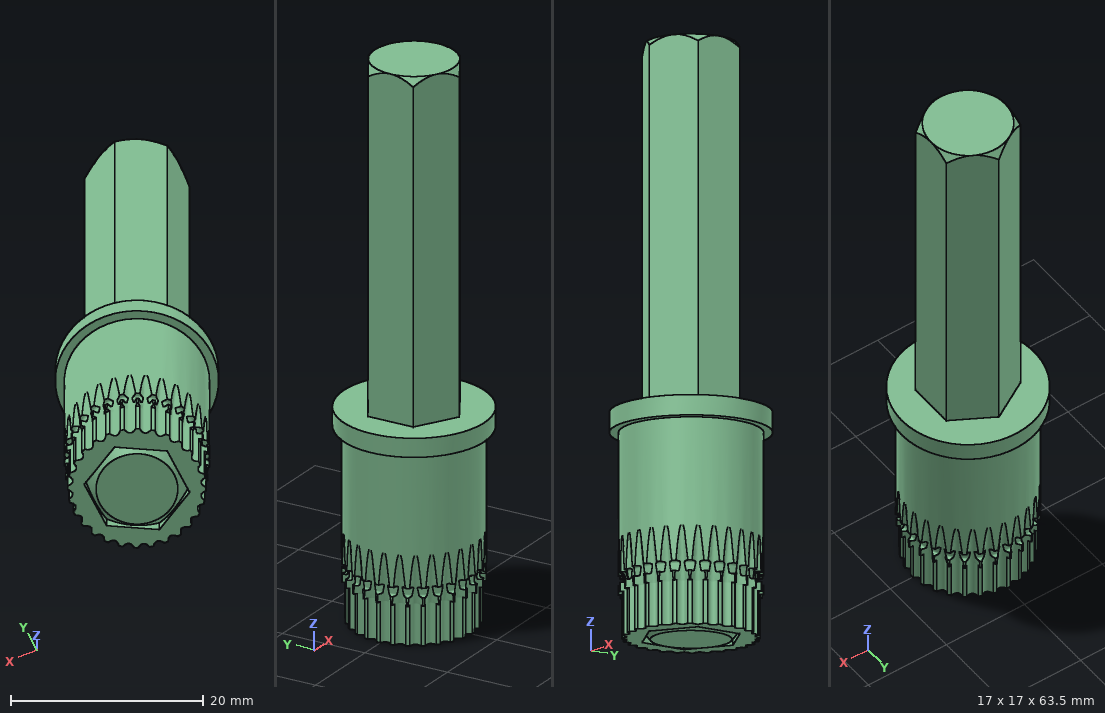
import cadquery as cq
import math

total_length = 63.5
across_flats = 9.5
hex_corner_diameter = across_flats / math.cos(math.pi / 6)
corner_bevel_drop = 0.9
foot_diameter = 8.5

bar_protrusion = 0.1
flange_diameter = 17.0
flange_top = 24.2
flange_bottom = 22.05
body_diameter = 15.1
ring_groove_top = 6.8
ring_groove_bottom = 5.7
ring_groove_diameter = 14.1
ring_groove_corner_radius = 0.2
collar_bottom = 4.75
spline_diameter = 14.4

groove_count = 28
groove_root_distance = 6.75
groove_root_radius = 0.4
groove_depth = 1.3
ramp_start = collar_bottom
ramp_end = 10.7


def make_hex_prism():
    """Full-length hexagon with two of its flats facing +X and -X."""
    return (
        cq.Workplane("XY")
        .polygon(6, hex_corner_diameter)
        .extrude(total_length)
        .rotate((0, 0, 0), (0, 0, 1), 90)
    )


def make_drive_bar():
    """Hexagonal bar whose corners are turned off by a conical bevel at both ends."""
    flat_radius = across_flats / 2
    corner_radius = hex_corner_diameter / 2
    foot_radius = foot_diameter / 2
    bevel_slope = corner_bevel_drop / (corner_radius - flat_radius)
    foot_bevel_rise = bevel_slope * (corner_radius - foot_radius)
    bevel_envelope = (
        cq.Workplane("XZ")
        .lineTo(foot_radius, 0)
        .lineTo(corner_radius, foot_bevel_rise)
        .lineTo(corner_radius, total_length - corner_bevel_drop)
        .lineTo(flat_radius, total_length)
        .lineTo(0, total_length)
        .close()
        .revolve(360, (0, 0, 0), (0, 1, 0))
    )
    return make_hex_prism().intersect(bevel_envelope)


def make_sleeve_blank():
    """Turned sleeve: flange, plain body, ring groove with round corners, collar and spline section."""
    spline_radius = spline_diameter / 2
    body_radius = body_diameter / 2
    flange_radius = flange_diameter / 2
    ring_radius = ring_groove_diameter / 2
    corner = ring_groove_corner_radius
    ring_wall_end = ring_radius + corner
    return (
        cq.Workplane("XZ")
        .moveTo(0, bar_protrusion)
        .lineTo(spline_radius, bar_protrusion)
        .lineTo(spline_radius, collar_bottom)
        .lineTo(body_radius, collar_bottom)
        .lineTo(body_radius, ring_groove_bottom)
        .lineTo(ring_wall_end, ring_groove_bottom)
        .radiusArc((ring_radius, ring_groove_bottom + corner), corner)
        .lineTo(ring_radius, ring_groove_top - corner)
        .radiusArc((ring_wall_end, ring_groove_top), corner)
        .lineTo(body_radius, ring_groove_top)
        .lineTo(body_radius, flange_bottom)
        .lineTo(flange_radius, flange_bottom)
        .lineTo(flange_radius, flange_top)
        .lineTo(0, flange_top)
        .close()
        .revolve(360, (0, 0, 0), (0, 1, 0))
    )


def make_groove_wire(root_distance, height):
    """Closed groove section at a height: a parabola with its vertex at the root, open outward."""
    mouth_x = root_distance + groove_depth
    mouth_y = math.sqrt(2 * groove_root_radius * groove_depth)
    control_x = root_distance - groove_depth
    return (
        cq.Workplane("XY", origin=(0, 0, height))
        .moveTo(mouth_x, -mouth_y)
        .bezier([(mouth_x, -mouth_y), (control_x, 0), (mouth_x, mouth_y)])
        .close()
        .val()
    )


def make_groove_cutter():
    """Straight groove that ramps outward until its root leaves the body at ramp_end."""
    foot_wire = make_groove_wire(groove_root_distance, 0)
    bend_wire = make_groove_wire(groove_root_distance, ramp_start)
    exit_wire = make_groove_wire(body_diameter / 2, ramp_end)
    straight = cq.Solid.makeLoft([foot_wire, bend_wire], True)
    ramp = cq.Solid.makeLoft([bend_wire, exit_wire], True)
    return cq.Workplane(straight).union(cq.Workplane(ramp))


def make_sleeve():
    """Sleeve with its ring of spline grooves and a hexagonal bore for the bar."""
    sleeve = make_sleeve_blank()
    cutter = make_groove_cutter()
    pitch_angle = 360 / groove_count
    first_angle = pitch_angle / 2
    for index in range(groove_count):
        angle = first_angle + index * pitch_angle
        sleeve = sleeve.cut(cutter.rotate((0, 0, 0), (0, 0, 1), angle))
    return sleeve.cut(make_hex_prism())


drive_bar = make_drive_bar()
sleeve = make_sleeve()
result = cq.Compound.makeCompound([drive_bar.val(), *sleeve.vals()])